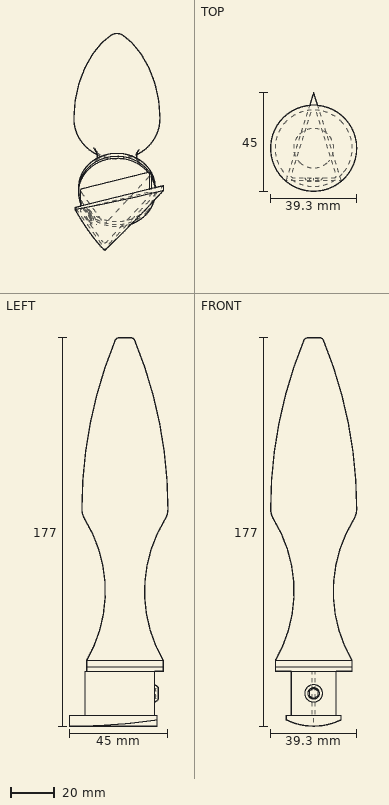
import cadquery as cq
import math

foot_height = 5.0
block_height = 20.0
ring_height = 2.0
collar_height = 3.0
total_height = 177.0

block_bottom = foot_height
ring_bottom = block_bottom + block_height
handle_bottom = ring_bottom + ring_height
collar_top = handle_bottom + collar_height

belly_radius = 19.66
belly_z = 99.0
tip_corner_radius = 4.0
tip_fillet = 2.0
shoulder_radius = 9.0
waist_radius = 9.0
waist_z = 61.45

nose_rise = total_height - belly_z
nose_drop = belly_radius - tip_corner_radius
nose_radius = (nose_rise**2 + nose_drop**2) / (2 * nose_drop)

shoulder_center_r = belly_radius - shoulder_radius
center_offset = waist_radius - shoulder_center_r
center_rise = belly_z - waist_z
waist_arc_radius = (center_offset**2 + center_rise**2 - shoulder_radius**2) / (
    2 * (shoulder_radius - center_offset)
)
waist_center_r = waist_radius + waist_arc_radius

base_radius = waist_center_r - math.sqrt(waist_arc_radius**2 - (waist_z - collar_top) ** 2)

foot_width = 25.0
foot_length = 40.0
foot_tip_y = 25.33
foot_front_y = foot_tip_y - foot_length
foot_edge_height = 2.1
foot_sagitta = foot_height - foot_edge_height

block_front_inset = 1.1
block_front_y = foot_front_y + block_front_inset
block_rear_y = 18.2
block_point_y = 20.4
block_taper = foot_width / foot_length
block_front_width = (block_point_y - block_front_y) * block_taper
block_rear_width = (block_point_y - block_rear_y) * block_taper
block_edge_fillet = 1.0

screw_z = block_bottom + block_height / 2
screw_radius = 4.0
screw_height = 1.7
screw_face_radius = 2.6
screw_dome_radius = 4.0
socket_across_flats = 4.0
socket_depth = 1.4


def plan_prism(outline, bottom_z, height):
    """Upright prism on a polygon given in plan."""
    return cq.Workplane("XY", origin=(0, 0, bottom_z)).polyline(outline).close().extrude(height)


def make_handle():
    """Revolved handle: collar, waist, shoulder, nose and rounded tip."""
    blend_angle = math.atan2(center_rise, waist_center_r - shoulder_center_r)
    blend_r = shoulder_center_r + shoulder_radius * math.cos(blend_angle)
    blend_z = belly_z - shoulder_radius * math.sin(blend_angle)
    shoulder_mid_r = shoulder_center_r + shoulder_radius * math.cos(blend_angle / 2)
    shoulder_mid_z = belly_z - shoulder_radius * math.sin(blend_angle / 2)
    nose_half_angle = math.asin(nose_rise / nose_radius) / 2
    nose_mid_r = belly_radius - nose_radius * (1 - math.cos(nose_half_angle))
    nose_mid_z = belly_z + nose_radius * math.sin(nose_half_angle)
    return (
        cq.Workplane("XZ")
        .moveTo(0, handle_bottom)
        .lineTo(base_radius, handle_bottom)
        .lineTo(base_radius, collar_top)
        .threePointArc((waist_radius, waist_z), (blend_r, blend_z))
        .threePointArc((shoulder_mid_r, shoulder_mid_z), (belly_radius, belly_z))
        .threePointArc((nose_mid_r, nose_mid_z), (tip_corner_radius, total_height))
        .lineTo(0, total_height)
        .close()
        .revolve(360, (0, 0, 0), (0, 1, 0))
        .faces(">Z")
        .edges()
        .fillet(tip_fillet)
    )


def make_ring():
    """Flat disc between the handle and the block."""
    return cq.Workplane("XY", origin=(0, 0, ring_bottom)).circle(base_radius).extrude(ring_height)


def make_block():
    """Tapered block with a narrow flat rear and rounded upright front edges."""
    outline = [
        (-block_front_width / 2, block_front_y),
        (block_front_width / 2, block_front_y),
        (block_rear_width / 2, block_rear_y),
        (-block_rear_width / 2, block_rear_y),
    ]
    body = plan_prism(outline, block_bottom, block_height)
    return body.faces("<Y").edges("|Z").fillet(block_edge_fillet)


def make_foot():
    """Pointed plate whose underside is part of a cylinder along Y."""
    section = (
        cq.Workplane("XZ", origin=(0, foot_tip_y, 0))
        .moveTo(-foot_width / 2, foot_height)
        .lineTo(-foot_width / 2, foot_sagitta)
        .threePointArc((0, 0), (foot_width / 2, foot_sagitta))
        .lineTo(foot_width / 2, foot_height)
        .close()
        .extrude(foot_length)
    )
    outline = [
        (-foot_width / 2, foot_front_y),
        (foot_width / 2, foot_front_y),
        (0, foot_tip_y),
    ]
    return section.intersect(plan_prism(outline, 0, foot_height))


def make_screw():
    """Domed head with a hexagon socket, seated on the front face of the block."""
    head = (
        cq.Workplane("XY")
        .lineTo(screw_radius, 0)
        .radiusArc((screw_face_radius, -screw_height), screw_dome_radius)
        .lineTo(0, -screw_height)
        .close()
        .revolve(360, (0, 0, 0), (0, 1, 0))
    )
    socket = (
        cq.Workplane("XZ", origin=(0, -screw_height, 0))
        .polygon(6, socket_across_flats, circumscribed=True)
        .extrude(-socket_depth)
    )
    return head.cut(socket).translate((0, block_front_y, screw_z))


handle = make_handle()
ring = make_ring()
block = make_block()
foot = make_foot()
screw = make_screw()

result = cq.Compound.makeCompound([handle.val(), ring.val(), block.val(), foot.val(), screw.val()])